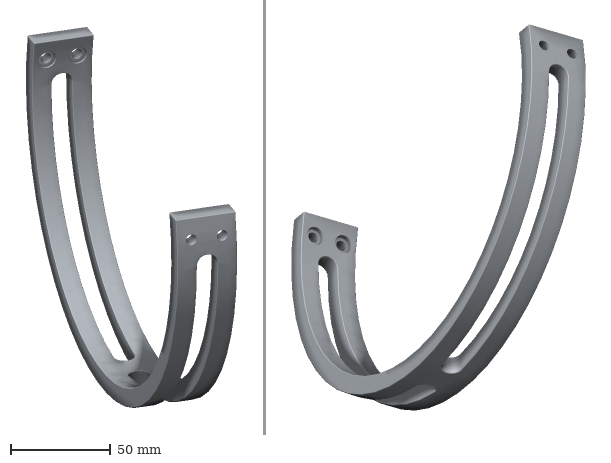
import cadquery as cq
import math

outer_radius = 118.7
thickness = 10.0
inner_radius = outer_radius - thickness
mid_radius = outer_radius - thickness / 2
width = 31.8
end_height = 26.0
edge_radius = 0.5

slot_width = 11.0
slot_end_radius = slot_width / 2
bridge = 14.2
upper_slot_angle = 0.0
lower_slot_angle = -math.degrees(math.acos((bridge / 2 + slot_end_radius) / mid_radius))

hole_diameter = 5.7
counterbore_diameter = 9.5
counterbore_depth = 2.0
hole_spacing = 16.5
hole_drop = 11.2
hole_height = end_height - hole_drop
inner_face_x = math.sqrt(inner_radius**2 - hole_height**2)


def polar_point(radius, angle):
    """Point in the XZ plane at an angle in degrees above +X."""
    return (
        radius * math.cos(math.radians(angle)),
        radius * math.sin(math.radians(angle)),
    )


def make_strap():
    """Ring segment cut off flat at the two ends."""
    ring = (
        cq.Workplane("XZ")
        .circle(outer_radius)
        .circle(inner_radius)
        .extrude(width / 2, both=True)
    )
    above_ends = (
        cq.Workplane("XY")
        .workplane(offset=end_height)
        .rect(3 * outer_radius, 2 * width)
        .extrude(outer_radius)
    )
    return ring.cut(above_ends)


def make_slot():
    """Cutter for the slot on the +X side: an arc band with round ends."""
    cut_inner = inner_radius - thickness
    cut_outer = outer_radius + thickness
    middle_angle = (upper_slot_angle + lower_slot_angle) / 2
    slot = (
        cq.Workplane("XZ")
        .moveTo(*polar_point(cut_inner, upper_slot_angle))
        .lineTo(*polar_point(cut_outer, upper_slot_angle))
        .threePointArc(
            polar_point(cut_outer, middle_angle),
            polar_point(cut_outer, lower_slot_angle),
        )
        .lineTo(*polar_point(cut_inner, lower_slot_angle))
        .threePointArc(
            polar_point(cut_inner, middle_angle),
            polar_point(cut_inner, upper_slot_angle),
        )
        .close()
        .extrude(slot_width / 2, both=True)
    )
    for angle in (upper_slot_angle, lower_slot_angle):
        round_end = (
            cq.Workplane("YZ")
            .workplane(offset=cut_inner)
            .circle(slot_end_radius)
            .extrude(cut_outer - cut_inner)
            .rotate((0, 0, 0), (0, 1, 0), -angle)
        )
        slot = slot.union(round_end)
    return slot


def make_screw_hole(y):
    """Cutter along X for one +X end hole, counterbored from the inner face."""
    hole = (
        cq.Workplane("YZ")
        .center(y, hole_height)
        .circle(hole_diameter / 2)
        .extrude(2 * outer_radius)
    )
    counterbore = (
        cq.Workplane("YZ")
        .workplane(offset=inner_face_x - thickness)
        .center(y, hole_height)
        .circle(counterbore_diameter / 2)
        .extrude(thickness + counterbore_depth)
    )
    return hole.union(counterbore)


def round_edges(body):
    """Round every edge except the smooth seams where slot sides meet slot ends."""
    seam_box = cq.selectors.BoxSelector(
        (-outer_radius, -slot_width, -outer_radius),
        (outer_radius, slot_width, end_height / 2),
    )
    seams = body.edges("%LINE").edges(seam_box)
    sharp_edges = body.edges().filter(lambda edge: not any(edge.isSame(seam) for seam in seams.vals()))
    return sharp_edges.fillet(edge_radius)


slot_cutter = make_slot()
strap = make_strap().cut(slot_cutter).cut(slot_cutter.mirror("YZ"))
result = round_edges(strap)

for y in (-hole_spacing / 2, hole_spacing / 2):
    hole_cutter = make_screw_hole(y)
    result = result.cut(hole_cutter).cut(hole_cutter.mirror("YZ"))